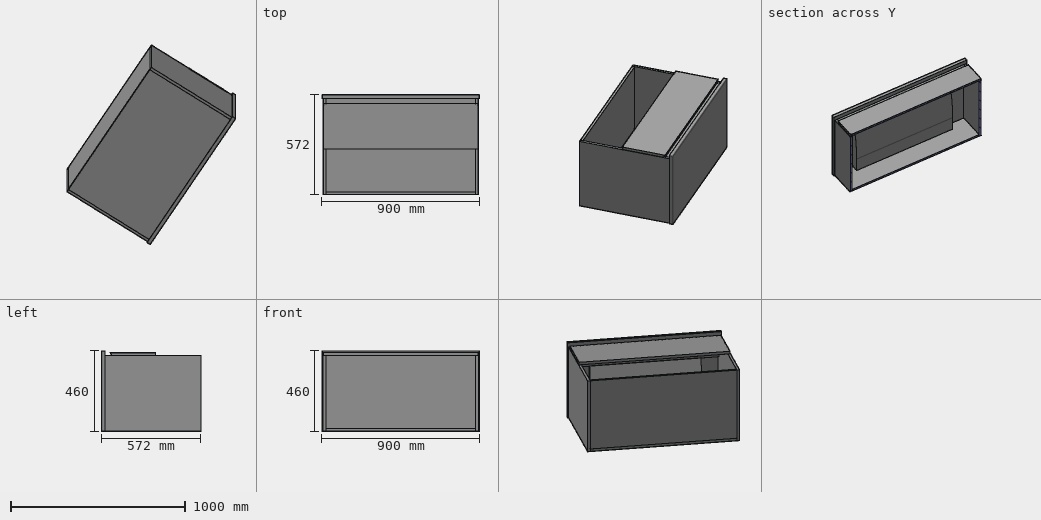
import cadquery as cq
import math

board = 16.0
overall_width = 900.0
overall_depth = 572.0
overall_height = 460.0

face_thickness = 22.0
face_rounding = 3.0
face_overhang = 6.0
face_rise = 26.0

box_width = overall_width - 2 * face_overhang
box_depth = overall_depth - face_thickness
box_height = overall_height - face_rise
inner_width = box_width - 2 * board

lid_inset = 3.0
lid_width = box_width - 2 * lid_inset
lid_depth = 260.0
lid_gap = 29.0
lid_undercut = 8.0

block_width = 650.0
rail_depth = 30.0
block_depth = 45.0
block_top_depth = 22.0
block_straight_height = 90.0
block_curve_radius = 1000.0
curve_setback = block_depth - block_top_depth
curve_angle = math.acos(1 - curve_setback / block_curve_radius)


def make_box(width, depth, height, y_start, z_start):
    """Box centred on X, starting at the given Y and Z."""
    return (
        cq.Workplane("XY")
        .box(width, depth, height, centered=(True, False, False))
        .translate((0, y_start, z_start))
    )


def extrude_across(profile, width):
    """Extrude a YZ profile to a width centred on X."""
    return profile.close().extrude(width / 2, both=True)


def make_side(direction):
    """Side board; direction is -1 for the -X side and +1 for the +X side."""
    offset = direction * (inner_width + board) / 2
    return make_box(board, box_depth, box_height, 0, 0).translate((offset, 0, 0))


def make_floor():
    return make_box(inner_width, box_depth, board, 0, 0)


def make_end_board():
    """Upright board closing the -Y end between the sides."""
    return make_box(inner_width, board, box_height - board, 0, board)


def make_face_panel():
    """Panel with its outer rim and the ends of its top edge rounded."""
    panel = make_box(overall_width, face_thickness, overall_height, box_depth, 0)
    outer_rim = panel.faces(">Y").edges("not <Z")
    top_ends = panel.faces(">Z").edges("|Y")
    return panel.newObject(outer_rim.vals() + top_ends.vals()).fillet(face_rounding)


def make_lid():
    """Flat lid whose rear edge is undercut."""
    rear = box_depth - lid_gap
    front = rear - lid_depth
    top = box_height + board
    profile = (
        cq.Workplane("YZ")
        .moveTo(front, box_height)
        .lineTo(rear - lid_undercut, box_height)
        .lineTo(rear, top)
        .lineTo(front, top)
    )
    return extrude_across(profile, lid_width)


def make_backing():
    """Block that curves back as it rises, under a deeper rail, as one solid."""
    block_front = box_depth - block_depth
    block_top = box_depth - block_top_depth
    rail_front = box_depth - rail_depth
    curve_start = board + block_straight_height
    curve_end = curve_start + block_curve_radius * math.sin(curve_angle)
    middle_angle = curve_angle / 2
    curve_middle = (
        block_front + block_curve_radius * (1 - math.cos(middle_angle)),
        curve_start + block_curve_radius * math.sin(middle_angle),
    )
    profile = (
        cq.Workplane("YZ")
        .moveTo(box_depth, board)
        .lineTo(block_front, board)
        .lineTo(block_front, curve_start)
        .threePointArc(curve_middle, (block_top, curve_end))
        .lineTo(box_depth, curve_end)
    )
    block = extrude_across(profile, block_width)
    rail = make_box(inner_width, rail_depth, box_height - curve_end, rail_front, curve_end)
    return block.union(rail)


sides = [make_side(direction) for direction in (-1, 1)]
floor = make_floor()
end_board = make_end_board()
face_panel = make_face_panel()
lid = make_lid()
backing = make_backing()

result = cq.Compound.makeCompound([
    *[side.val() for side in sides],
    floor.val(),
    end_board.val(),
    face_panel.val(),
    lid.val(),
    *backing.vals(),
])